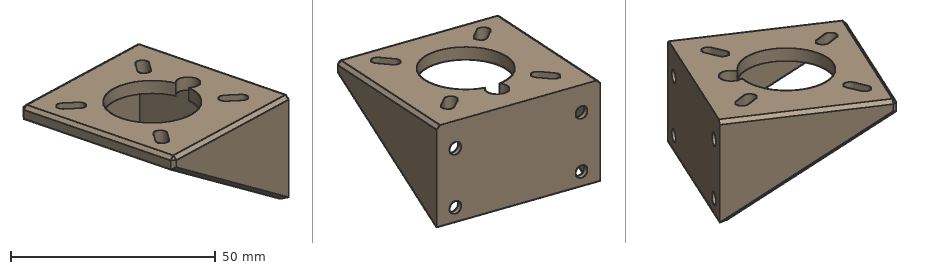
import cadquery as cq

width = 48.0
depth = 45.0
height = 27.5
plate_thickness = 3.5
side_wall_thickness = 2.5
back_wall_thickness = 1.5
foot_length = 2.05
edge_chamfer = 1.0

bore_center_y = -23.45
bore_diameter = 24.0
relief_diameter = 6.0
relief_offset = 14.0
slot_width = 3.4
slot_inner_offset = 12.7
slot_outer_offset = 15.5

screw_diameter = 3.4
screw_edge_distance = 5.5
screw_upper_depth = 7.5
screw_lower_depth = 23.5


def outer_body():
    """Solid wedge with chamfered top, front corner and sloping side edges."""
    wedge = (
        cq.Workplane("YZ")
        .polyline([
            (0, 0),
            (-depth, 0),
            (-depth, -plate_thickness),
            (-foot_length, -height),
            (0, -height),
        ])
        .close()
        .extrude(width / 2, both=True)
    )
    side_edges = wedge.faces("<X or >X").edges("not(>Y or <Z)")
    front_top_edge = wedge.faces(">Z").edges("<Y")
    return side_edges.add(front_top_edge).chamfer(edge_chamfer)


def pocket():
    """Open space under the plate, between the side walls and the back wall."""
    return cq.Workplane("XY").box(
        width - 2 * side_wall_thickness, depth, height, centered=(True, False, False)
    ).translate((0, -back_wall_thickness - depth, -plate_thickness - height))


def plate_cylinder(y, diameter):
    return (
        cq.Workplane("XY")
        .center(0, y)
        .circle(diameter / 2)
        .extrude(-plate_thickness)
    )


def diagonal_slots():
    """Four radial slots at 45 degrees around the bore."""
    middle = (slot_inner_offset + slot_outer_offset) / 2
    length = (slot_outer_offset - slot_inner_offset) * 2 ** 0.5 + slot_width
    slots = cq.Workplane("XY")
    for side_x in (-1, 1):
        for side_y in (-1, 1):
            slot = (
                cq.Workplane("XY")
                .center(side_x * middle, bore_center_y + side_y * middle)
                .slot2D(length, slot_width, 45 * side_x * side_y)
                .extrude(-plate_thickness)
            )
            slots = slots.add(slot)
    return slots.combine()


def screw_holes():
    screw_x = width / 2 - screw_edge_distance
    return (
        cq.Workplane("XZ")
        .pushPoints([
            (side * screw_x, -drop)
            for side in (-1, 1)
            for drop in (screw_upper_depth, screw_lower_depth)
        ])
        .circle(screw_diameter / 2)
        .extrude(back_wall_thickness)
    )


result = (
    outer_body()
    .cut(pocket())
    .cut(plate_cylinder(bore_center_y, bore_diameter))
    .cut(plate_cylinder(bore_center_y + relief_offset, relief_diameter))
    .cut(diagonal_slots())
    .cut(screw_holes())
)